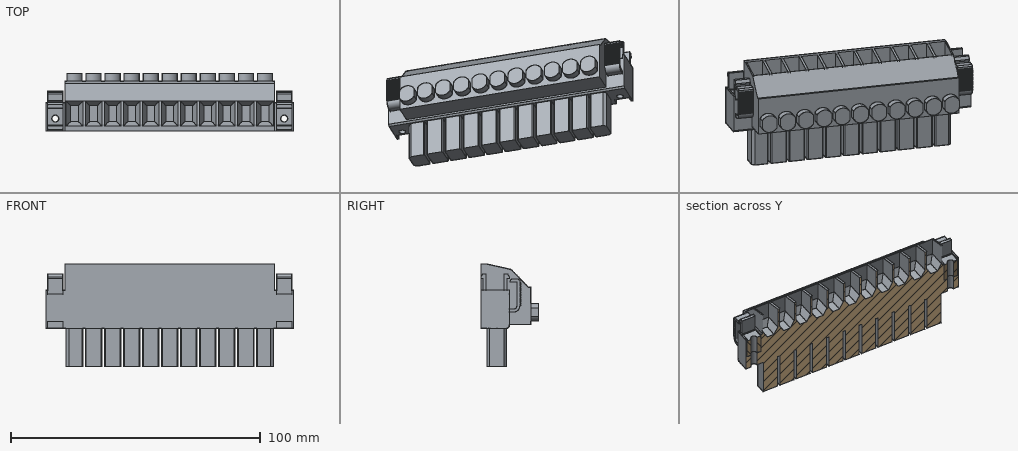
import cadquery as cq
import math


overall_length = 99.1
overall_depth = 23.1
overall_height = 41.1
housing_height = 25.8
pin_length = overall_height - housing_height

pole_count = 11
pole_row_length = 76.2
pole_pitch = pole_row_length / (pole_count - 1)
pole_positions = [(i - (pole_count - 1) / 2) * pole_pitch for i in range(pole_count)]

body_length = 83.9
body_depth = 20.0
body_underside = 1.5
body_back_height = 16.4
back_ledge = 1.0
knee_y = 12.1
knee_z = 23.6
flat_top_depth = 2.4

base_depth = 11.4
base_height = 15.3
base_chamfer = 0.7

entry_width = 6.6
entry_front = 2.1
entry_depth = 9.9
entry_shoulder_z = 15.85
funnel_inset = 1.8
funnel_angle = 30.0
funnel_height = funnel_inset / math.tan(math.radians(funnel_angle))

screw_diameter = 7.0
screw_flat_width = 6.1
screw_z = 6.4

pin_width = 6.6
pin_front = 2.4
pin_depth = 7.9
pin_chamfer = 0.4
end_pin_overhang = 0.1
end_pin_chamfer_x = 1.2
end_pin_chamfer_y = 1.0

latch_width = 6.1
latch_x = 45.8
ear_wall = 0.9
latch_front = ear_wall
latch_back = base_depth - ear_wall
latch_bottom = 6.5
latch_floor_z = 14.7
prong_thickness = 1.2
prong_top = 21.8
prong_root_chamfer = 0.3
hook_bottom = 20.0
hook_shoulder = 20.6
hook_top_reach = 0.15
ear_notch_z = 13.7
ear_hole_diameter = 2.7
ear_hole_y = 5.1
foot_notch_height = 2.7
foot_notch_depth = 3.0

lever_thickness = 1.2
lever_inner_y = 14.4
lever_outer_y = lever_inner_y + lever_thickness
lever_top = 19.7
lever_tip_y = 11.7
lever_tip_chamfer_y = 0.6
lever_tip_chamfer_z = 0.7
lever_back_chamfer = 0.6
lever_inner_radius = 1.2
lever_outer_radius = lever_inner_radius + lever_thickness

ridge_count = 13
ridge_pitch = 0.73
ridge_root_width = 0.6
ridge_crest_width = 0.2
ridge_height = 0.45
first_ridge_z = 9.3


def block(x_center, width, y_min, y_max, z_min, z_max):
    """Upright box centred on x_center."""
    base_plane = cq.Workplane("XY", origin=(x_center, y_min, z_min))
    return base_plane.box(width, y_max - y_min, z_max - z_min, centered=(True, False, False))


def extrude_along_x(outline, width):
    """Extrude a closed YZ outline symmetrically about X = 0."""
    return outline.close().extrude(width / 2, both=True)


def make_body():
    """Sloped main body over the full row of poles."""
    outline = cq.Workplane("YZ").polyline([
        (0, body_underside),
        (0, housing_height),
        (flat_top_depth, housing_height),
        (knee_y, knee_z),
        (body_depth - back_ledge, body_back_height),
        (body_depth, body_back_height),
        (body_depth, body_underside),
    ])
    return extrude_along_x(outline, body_length)


def make_base():
    """Full-length base block whose ends stick out as ears."""
    base = block(0, overall_length, 0, base_depth, 0, base_height)
    return base.faces(">Y").edges("<Z").chamfer(base_chamfer)


def make_screw(x):
    """Round screw boss with two flat sides on the back face."""
    screw = cq.Workplane("XZ", origin=(x, overall_depth, screw_z)).circle(screw_diameter / 2)
    screw = screw.extrude(overall_depth - base_depth)
    z_min = screw_z - screw_diameter / 2
    z_max = screw_z + screw_diameter / 2
    return screw.intersect(block(x, screw_flat_width, base_depth, overall_depth, z_min, z_max))


def make_pin(x):
    """Contact pin with small corner chamfers."""
    pin = block(x, pin_width, pin_front, pin_front + pin_depth, -pin_length, 0)
    return pin.edges("|Z").chamfer(pin_chamfer)


def make_end_pin(side):
    """Last pin of the row, with large chamfers on its outer corners."""
    half = pin_width / 2
    outer = half + end_pin_overhang
    back = pin_front + pin_depth
    outline = [
        (-half + pin_chamfer, pin_front),
        (outer - end_pin_chamfer_x, pin_front),
        (outer, pin_front + end_pin_chamfer_y),
        (outer, back - end_pin_chamfer_y),
        (outer - end_pin_chamfer_x, back),
        (-half + pin_chamfer, back),
        (-half, back - pin_chamfer),
        (-half, pin_front + pin_chamfer),
    ]
    x_center = side * pole_positions[-1]
    points = [(x_center + side * x, y) for x, y in outline]
    return cq.Workplane("XY").polyline(points).close().extrude(-pin_length)


def make_wire_entry(x):
    """Straight shaft that narrows into a funnel."""
    entry_middle = entry_front + entry_depth / 2
    shoulder = cq.Workplane("XY", origin=(x, entry_middle, entry_shoulder_z))
    shaft = shoulder.rect(entry_width, entry_depth).extrude(housing_height - entry_shoulder_z)
    funnel = shoulder.rect(entry_width, entry_depth).extrude(-funnel_height, taper=funnel_angle)
    return shaft.union(funnel)


def ear_cutters(side):
    """Latch cavity, prong notches, lever slot, foot notch and through hole of one ear."""
    x = side * latch_x
    cavity = block(x, latch_width, latch_front, latch_back, latch_bottom, base_height)
    prong_notches = block(x, latch_width, 0, base_depth, ear_notch_z, base_height)
    lever_slot = block(x, latch_width, latch_back, base_depth, latch_bottom, latch_bottom + lever_thickness)
    foot_notch = block(x, latch_width, 0, foot_notch_depth, 0, foot_notch_height)
    return [cavity, prong_notches, lever_slot, foot_notch, ear_hole(side)]


def ear_hole(side):
    """Vertical hole through an ear and its latch."""
    hole = cq.Workplane("XY", origin=(side * latch_x, ear_hole_y, 0))
    return hole.circle(ear_hole_diameter / 2).extrude(base_height)


def make_housing():
    """Housing with its screws, wire entries, contact pins and hollow ears."""
    housing = make_body().union(make_base())
    for x in pole_positions:
        housing = housing.union(make_screw(x)).cut(make_wire_entry(x))
    for x in pole_positions[1:-1]:
        housing = housing.union(make_pin(x))
    for side in (-1, 1):
        housing = housing.union(make_end_pin(side))
        for cutter in ear_cutters(side):
            housing = housing.cut(cutter)
    return housing


def make_prong():
    """Front prong with an outward hook; its foot sits on the latch block."""
    inner_y = latch_front + prong_thickness
    outline = cq.Workplane("YZ").polyline([
        (latch_front, latch_bottom),
        (latch_front, hook_bottom),
        (0, hook_bottom),
        (0, hook_shoulder),
        (latch_front - hook_top_reach, prong_top),
        (inner_y, prong_top),
        (inner_y, latch_floor_z + prong_root_chamfer),
        (inner_y + prong_root_chamfer, latch_floor_z),
        (inner_y + prong_root_chamfer, latch_bottom),
    ])
    return extrude_along_x(outline, latch_width)


def make_ridge(z):
    """Grip ridge of tapered section centred on height z, rooted inside the lever."""
    half_root = ridge_root_width / 2
    half_crest = ridge_crest_width / 2
    crest_y = lever_outer_y + ridge_height
    outline = cq.Workplane("YZ").polyline([
        (lever_inner_y, z - half_root),
        (lever_outer_y, z - half_root),
        (crest_y, z - half_crest),
        (crest_y, z + half_crest),
        (lever_outer_y, z + half_root),
        (lever_inner_y, z + half_root),
    ])
    return extrude_along_x(outline, latch_width)


def make_lever():
    """C-shaped thumb lever rising from the back of the latch block."""
    bend_y = lever_inner_y - lever_inner_radius
    bend_z = latch_bottom + lever_outer_radius
    diagonal = math.sqrt(0.5)
    outer_mid = (bend_y + lever_outer_radius * diagonal, bend_z - lever_outer_radius * diagonal)
    inner_mid = (bend_y + lever_inner_radius * diagonal, bend_z - lever_inner_radius * diagonal)
    outline = (
        cq.Workplane("YZ")
        .moveTo(latch_back, latch_bottom)
        .lineTo(bend_y, latch_bottom)
        .threePointArc(outer_mid, (lever_outer_y, bend_z))
        .lineTo(lever_outer_y, lever_top - lever_back_chamfer)
        .lineTo(lever_outer_y - lever_back_chamfer, lever_top)
        .lineTo(lever_tip_y + lever_tip_chamfer_y, lever_top)
        .lineTo(lever_tip_y, lever_top - lever_tip_chamfer_z)
        .lineTo(lever_tip_y, lever_top - lever_thickness)
        .lineTo(lever_inner_y, lever_top - lever_thickness)
        .lineTo(lever_inner_y, bend_z)
        .threePointArc(inner_mid, (bend_y, latch_bottom + lever_thickness))
        .lineTo(latch_back, latch_bottom + lever_thickness)
    )
    lever = extrude_along_x(outline, latch_width)
    for i in range(ridge_count):
        lever = lever.union(make_ridge(first_ridge_z + i * ridge_pitch))
    return lever


def make_latch(side):
    """Latch with two hooked prongs, a thumb lever and a through hole."""
    front_prong = make_prong()
    back_prong = front_prong.mirror("XZ", (0, base_depth / 2, 0))
    core = block(0, latch_width, latch_front, latch_back, latch_bottom, latch_floor_z)
    latch = core.union(front_prong).union(back_prong).union(make_lever())
    return latch.translate((side * latch_x, 0, 0)).cut(ear_hole(side))


housing = make_housing()
latches = [make_latch(side) for side in (-1, 1)]

result = cq.Compound.makeCompound([housing.solids().val(), *[latch.solids().val() for latch in latches]])